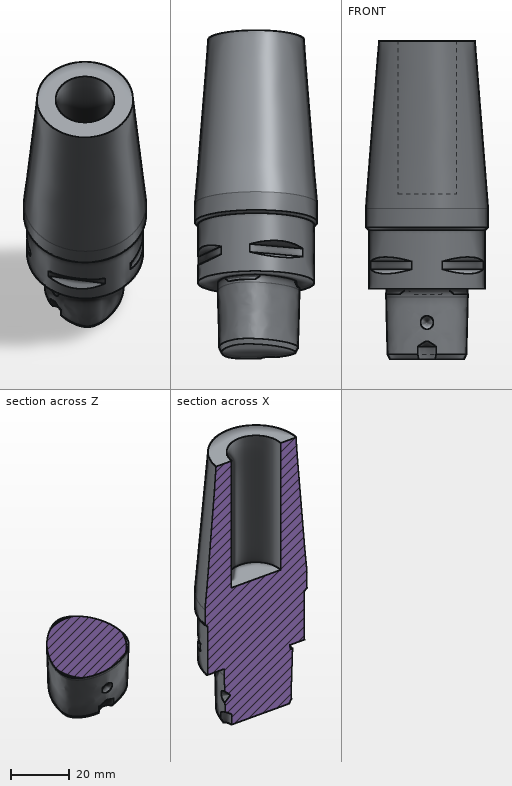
import cadquery as cq
import math

total_length = 109.0
nose_radius = 16.5
flange_radius = 20.98
flange_top = 51.7
flange_bottom = 44.3
flange_chamfer = 1.0
body_radius = 20.0
body_bottom = 24.1

bore_radius = 10.0
bore_depth = 52.3

shank_radius = 14.1
lobe_height = 1.0
taper_top = 21.5
taper_slope = 1 / 40
shank_chamfer_height = 1.7
shank_chamfer_width = 0.9
outline_points = 48

undercut_radius = 14.3
undercut_neck_radius = 14.0
undercut_bottom = 22.3
undercut_cone_top = 23.4
undercut_outer_radius = 16.4

groove_count = 4
groove_height = 32.2
groove_floor_distance = 17.3
groove_floor_width = 2.7
groove_flank_angle = 30.0

mark_height = 12.5
mark_radius = 2.3
mark_tip_angle = 90.0

key_radius = 3.3
key_depth = 4.4
key_offset = 13.3
drill_tip_angle = 110.0


def tip_length(radius, angle):
    """Length of a cone with the given base radius and included angle."""
    return radius / math.tan(math.radians(angle / 2))


def lobed_wire(mean_radius, height):
    """Closed curve of constant width with three lobes."""
    points = []
    for i in range(outline_points):
        angle = 2 * math.pi * i / outline_points
        reach = mean_radius - lobe_height * math.sin(3 * angle)
        change = -3 * lobe_height * math.cos(3 * angle)
        x = reach * math.cos(angle) - change * math.sin(angle)
        y = reach * math.sin(angle) + change * math.cos(angle)
        points.append(cq.Vector(x, y, height))
    return cq.Wire.assembleEdges([cq.Edge.makeSpline(points, periodic=True)])


def lobed_section(bottom_radius, bottom, top_radius, top):
    wires = [lobed_wire(bottom_radius, bottom), lobed_wire(top_radius, top)]
    return cq.Workplane(obj=cq.Solid.makeLoft(wires, True))


def make_body():
    profile = [
        (0, body_bottom),
        (body_radius, body_bottom),
        (body_radius, flange_bottom),
        (flange_radius - flange_chamfer, flange_bottom),
        (flange_radius, flange_bottom + flange_chamfer),
        (flange_radius, flange_top),
        (nose_radius, total_length),
        (0, total_length),
    ]
    body = cq.Workplane("XZ").polyline(profile).close().revolve(360, (0, 0), (0, 1))
    bore = cq.Workplane("XY", origin=(0, 0, total_length)).circle(bore_radius).extrude(-bore_depth)
    return body.cut(bore)


def make_shank():
    taper_end_radius = shank_radius - taper_slope * (taper_top - shank_chamfer_height)
    end_radius = taper_end_radius - shank_chamfer_width
    chamfer = lobed_section(end_radius, 0, taper_end_radius, shank_chamfer_height)
    taper = lobed_section(taper_end_radius, shank_chamfer_height, shank_radius, taper_top)
    neck = lobed_section(shank_radius, taper_top, shank_radius, body_bottom)
    undercut_profile = [
        (undercut_outer_radius, undercut_bottom),
        (undercut_radius, undercut_bottom),
        (undercut_neck_radius, undercut_cone_top),
        (undercut_neck_radius, body_bottom),
        (undercut_outer_radius, body_bottom),
    ]
    undercut = cq.Workplane("XZ").polyline(undercut_profile).close().revolve(360, (0, 0), (0, 1))
    return chamfer.union(taper).union(neck.cut(undercut))


def make_groove(angle):
    """Straight trapezoidal groove facing outward at the given angle."""
    depth = flange_radius - groove_floor_distance
    half_floor = groove_floor_width / 2
    half_mouth = half_floor + depth * math.tan(math.radians(groove_flank_angle))
    profile = [
        (groove_floor_distance, -half_floor),
        (flange_radius, -half_mouth),
        (flange_radius, half_mouth),
        (groove_floor_distance, half_floor),
    ]
    groove = cq.Workplane("XZ").polyline(profile).close().extrude(body_radius, both=True)
    return groove.translate((0, 0, groove_height)).rotate((0, 0, 0), (0, 0, 1), angle)


def make_centre_mark():
    surface = shank_radius - lobe_height - taper_slope * (taper_top - mark_height)
    tip = tip_length(mark_radius, mark_tip_angle)
    tool_radius = 2 * mark_radius
    tool_length = 2 * tip
    axis = cq.Vector(0, 1, 0)
    rim_centre = cq.Vector(0, -surface, mark_height)
    return cq.Solid.makeCone(tool_radius, 0, tool_length, rim_centre - axis * tip, axis)


def make_keyway():
    tip = tip_length(key_radius, drill_tip_angle)
    profile = [(0, 0), (key_radius, 0), (key_radius, key_depth), (0, key_depth + tip)]
    drill = cq.Workplane("XZ").polyline(profile).close().revolve(360, (0, 0), (0, 1))
    return drill.translate((0, -key_offset, 0))


result = make_body().union(make_shank())
groove_step = 360 / groove_count
for index in range(groove_count):
    result = result.cut(make_groove((index + 0.5) * groove_step))
result = result.cut(make_centre_mark()).cut(make_keyway())